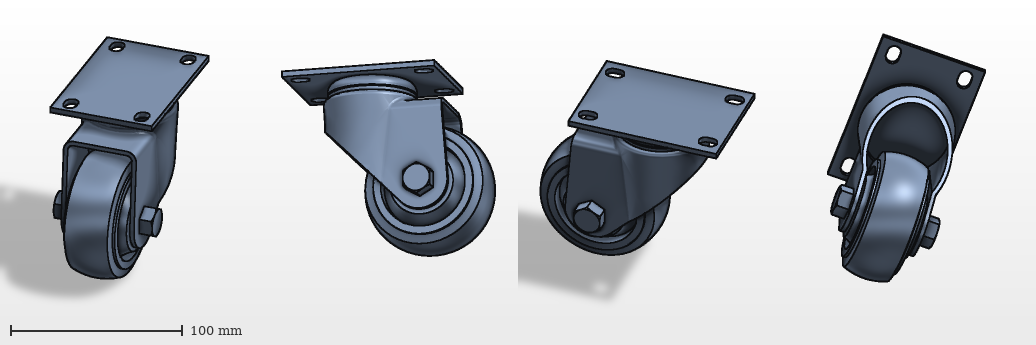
import cadquery as cq
import math

PLATE_X = 63.5
PLATE_Y = 92.075
PLATE_T = 3.4
SLOT_WIDTH = 7.94
SLOT_LENGTH = 11.11
SLOT_PITCH_X = 44.45
SLOT_PITCH_Y = 74.6

RACE_D = 52.2
RACE_ROUND_TOP_D = 47.4
RACE_ROUND_Z = -8.1
GROOVE_D = 48.64
GROOVE_TOP_Z = -9.85
GROOVE_BOTTOM_Z = -10.7

FORK_TOP_Z = -12.9
SHEET_T = 2.66
CROWN_D = 56.9
CROWN_TAPER = 3.0
CROWN_EDGE_R = 3.175
CHANNEL_TOP_Z = -19.05
CHANNEL_INNER_W = 40.2
CHANNEL_OUTER_W = CHANNEL_INNER_W + 2 * SHEET_T
BEND_R = 6.35
BLEND_R = 2.8
LEG_END_R = 16.5
LEG_FRONT_TILT = 4.7
UNDERCUT_ANGLE = 45.0
REACH = 100.0
SELECT_MARGIN = 1.0

AXLE_Y = -34.925
AXLE_Z = -69.85
AXLE_D = 12.7
HEX_FLATS = 16.2
HEX_T = 8.1
HEX_CHAMFER_ANGLE = 30.0

WHEEL_D = 76.2
TREAD_W = 26.8
TREAD_EDGE_D = 71.0
TREAD_SIDE_W = 28.9
RIM_D = 60.33
RIM_W = 31.9
RECESS_MOUTH_D = 51.0
RECESS_FLOOR_D = 50.0
RECESS_DEPTH = 6.35
HUB_W = 38.1
HUB_FACE_D = 38.2
HUB_RIM_PLANE_D = 40.8


def make_plate():
    plate = cq.Workplane("XY").workplane(offset=-PLATE_T).rect(PLATE_X, PLATE_Y).extrude(PLATE_T)
    slots = (
        cq.Workplane("XY")
        .workplane(offset=-PLATE_T)
        .rarray(SLOT_PITCH_X, SLOT_PITCH_Y, 2, 2)
        .slot2D(SLOT_LENGTH, SLOT_WIDTH, 90)
        .extrude(PLATE_T)
    )
    return plate.cut(slots)


def make_race():
    """Turned race between plate and fork, with a rounded shoulder and a groove."""
    race_r = RACE_D / 2
    top_r = RACE_ROUND_TOP_D / 2
    groove_r = GROOVE_D / 2
    return (
        cq.Workplane("XZ")
        .moveTo(0, FORK_TOP_Z)
        .lineTo(race_r, FORK_TOP_Z)
        .lineTo(race_r, GROOVE_BOTTOM_Z)
        .lineTo(groove_r, GROOVE_BOTTOM_Z)
        .lineTo(groove_r, GROOVE_TOP_Z)
        .lineTo(race_r, GROOVE_TOP_Z)
        .lineTo(race_r, RACE_ROUND_Z)
        .tangentArcPoint((top_r, -PLATE_T), relative=False)
        .lineTo(0, -PLATE_T)
        .close()
        .revolve(360, (0, 0, 0), (0, 1, 0))
    )


def tapered_crown(top_z, inset):
    """Cone narrowing downward, with its wall moved inward by the inset."""
    slope = math.tan(math.radians(CROWN_TAPER))
    wall_start_z = FORK_TOP_Z - CROWN_EDGE_R
    top_r = CROWN_D / 2 - inset + slope * (top_z - wall_start_z)
    bottom_r = top_r - slope * REACH
    return (
        cq.Workplane("XZ")
        .moveTo(0, top_z)
        .lineTo(top_r, top_z)
        .lineTo(bottom_r, top_z - REACH)
        .lineTo(0, top_z - REACH)
        .close()
        .revolve(360, (0, 0, 0), (0, 1, 0))
    )


def channel(width, top_z, bend_r):
    """Bar running forward (-Y) from the swivel axis with two rounded top edges."""
    return (
        cq.Workplane("XY")
        .workplane(offset=top_z - REACH)
        .center(0, -REACH / 2)
        .rect(width, REACH)
        .extrude(REACH)
        .edges("|Y and >Z")
        .fillet(bend_r)
    )


def fork_side_trim():
    """Side outline: sloped front edge, round leg end and a sloped undercut at the rear."""
    tilt = math.radians(LEG_FRONT_TILT)
    undercut = math.radians(UNDERCUT_ANGLE)
    front_y = AXLE_Y - LEG_END_R * math.cos(tilt)
    front_z = AXLE_Z + LEG_END_R * math.sin(tilt)
    rear_y = AXLE_Y + LEG_END_R * math.sin(undercut)
    rear_z = AXLE_Z - LEG_END_R * math.cos(undercut)
    front_top_y = front_y + (FORK_TOP_Z - front_z) * math.tan(tilt)
    undercut_end_y = rear_y + (FORK_TOP_Z - rear_z) / math.tan(undercut)
    return (
        cq.Workplane("YZ")
        .moveTo(front_top_y, FORK_TOP_Z)
        .lineTo(front_y, front_z)
        .threePointArc((AXLE_Y, AXLE_Z - LEG_END_R), (rear_y, rear_z))
        .lineTo(undercut_end_y, FORK_TOP_Z)
        .close()
        .extrude(REACH / 2, both=True)
    )


def make_fork():
    crown = tapered_crown(FORK_TOP_Z, 0).faces(">Z").edges().fillet(CROWN_EDGE_R)
    outer = crown.union(channel(CHANNEL_OUTER_W, CHANNEL_TOP_Z, BEND_R))

    front_of_crown = cq.selectors.BoxSelector(
        (-CHANNEL_OUTER_W, -CROWN_D / 2 - SELECT_MARGIN, CHANNEL_TOP_Z - REACH + SELECT_MARGIN),
        (CHANNEL_OUTER_W, -SELECT_MARGIN, CHANNEL_TOP_Z + SELECT_MARGIN),
        boundingbox=True,
    )
    outer = outer.edges(front_of_crown).fillet(BLEND_R)

    hollow = tapered_crown(FORK_TOP_Z - SHEET_T, SHEET_T).union(
        channel(CHANNEL_INNER_W, CHANNEL_TOP_Z - SHEET_T, BEND_R - SHEET_T)
    )
    return outer.intersect(fork_side_trim()).cut(hollow)


def make_axle():
    """Axle through both legs with a chamfered hex head against each leg."""
    head_start = CHANNEL_OUTER_W / 2
    head_end = head_start + HEX_T
    corner_r = HEX_FLATS / math.sqrt(3)
    flat_r = HEX_FLATS / 2
    chamfer = (corner_r - flat_r) * math.tan(math.radians(HEX_CHAMFER_ANGLE))
    heads = (
        cq.Workplane("YZ")
        .workplane(offset=-head_end)
        .polygon(6, 2 * corner_r)
        .extrude(2 * head_end)
        .rotate((0, 0, 0), (1, 0, 0), 90)
        .cut(cq.Workplane("YZ").rect(REACH, REACH).extrude(head_start, both=True))
    )
    chamfer_envelope = (
        cq.Workplane("XY")
        .moveTo(-head_end, 0)
        .lineTo(-head_end, flat_r)
        .lineTo(chamfer - head_end, corner_r)
        .lineTo(head_end - chamfer, corner_r)
        .lineTo(head_end, flat_r)
        .lineTo(head_end, 0)
        .close()
        .revolve(360, (0, 0, 0), (1, 0, 0))
    )
    shaft = cq.Workplane("YZ").circle(AXLE_D / 2).extrude(head_start, both=True)
    axle = heads.intersect(chamfer_envelope).union(shaft)
    return axle.translate((0, AXLE_Y, AXLE_Z))


def make_frame():
    return make_plate().union(make_race()).union(make_fork()).union(make_axle())


def make_wheel():
    """Crowned wheel turned about the axle, with a ring recess around the hub on each side."""
    half_core = (
        cq.Workplane("XY")
        .moveTo(0, AXLE_D / 2)
        .lineTo(HUB_W / 2, AXLE_D / 2)
        .lineTo(HUB_W / 2, HUB_FACE_D / 2)
        .threePointArc(
            (RIM_W / 2, HUB_RIM_PLANE_D / 2),
            (RIM_W / 2 - RECESS_DEPTH, RECESS_FLOOR_D / 2),
        )
        .lineTo(RIM_W / 2, RECESS_MOUTH_D / 2)
        .lineTo(RIM_W / 2, RIM_D / 2)
        .lineTo(TREAD_SIDE_W / 2, RIM_D / 2)
        .lineTo(TREAD_W / 2, TREAD_EDGE_D / 2)
        .lineTo(0, TREAD_EDGE_D / 2)
        .close()
        .revolve(360, (0, 0, 0), (1, 0, 0))
    )
    crowned_tread = (
        cq.Workplane("XY")
        .moveTo(-TREAD_W / 2, AXLE_D / 2)
        .lineTo(-TREAD_W / 2, TREAD_EDGE_D / 2)
        .threePointArc((0, WHEEL_D / 2), (TREAD_W / 2, TREAD_EDGE_D / 2))
        .lineTo(TREAD_W / 2, AXLE_D / 2)
        .close()
        .revolve(360, (0, 0, 0), (1, 0, 0))
    )
    core = half_core.union(half_core.mirror("YZ"))
    tread_ring = crowned_tread.cut(cq.Workplane("YZ").circle(RIM_D / 2).extrude(REACH, both=True))
    return core.union(tread_ring).translate((0, AXLE_Y, AXLE_Z))


frame = make_frame()
wheel = make_wheel()
result = cq.Compound.makeCompound([frame.solids().val(), wheel.solids().val()])